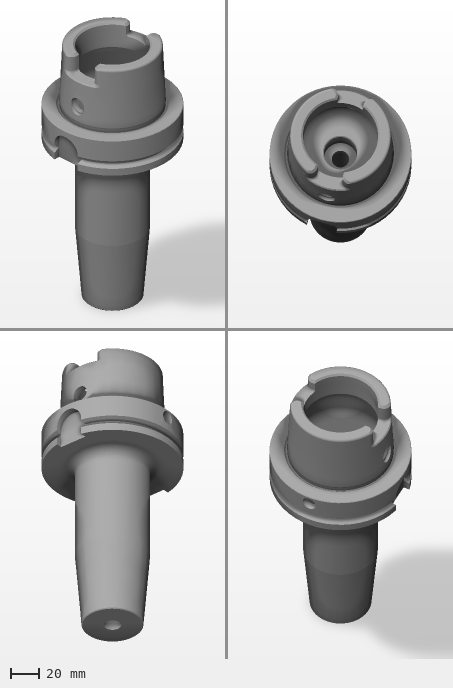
import cadquery as cq
import math

TOTAL_LENGTH = 210.0
NOSE_TAPER_TOP = 57.5
FLANGE_BOTTOM = 131.5
FLANGE_TOP = 160.4

NECK_RADIUS = 26.5
NOSE_END_RADIUS = 21.8
NOSE_CHAMFER = 0.6
NECK_FILLET = 6.3

FLANGE_RADIUS = 50.0
FLANGE_CHAMFER = 0.5
GROOVE_FLOOR_RADIUS = 45.5
GROOVE_FLOOR_BOTTOM = 138.7
GROOVE_FLOOR_TOP = 141.7
GROOVE_FLANK_RADIUS = 47.5
GROOVE_FLANK_RISE = 0.5
GROOVE_LIP_RISE = 1.3

SHANK_BASE_RADIUS = 37.5
SHANK_TOP_RADIUS = 35.5
SHANK_BASE = 162.9
SHANK_TOP_ROUND = 1.9
RELIEF_RADIUS = 37.4
RELIEF_OUTER_RADIUS = 39.7
RELIEF_DEPTH = 1.0
RELIEF_RISE = 1.5

BORE_RADIUS = 26.5
MOUTH_CHAMFER = 1.3
CLAMP_SHOULDER = 190.0
CLAMP_RADIUS = 31.5
CLAMP_SHOULDER_ANGLE = 30.0
CAVITY_FLOOR = 163.0
CAVITY_FLOOR_FILLET = 7.1
TUBE_BORE_RADIUS = 11.8
TUBE_BORE_DEPTH = 16.8
TUBE_BORE_CHAMFER = 0.73
COOLANT_RADIUS = 6.0

SLOT_HALF_WIDTH = 9.5
SLOT_ROUND = 5.2
SLOT_SHOULDER = 32.1
FRONT_SLOT_FLOOR = 195.2
BACK_SLOT_FLOOR = 200.0
SLOT_FLOOR_FILLET = 1.9
SLOT_RIM_CHAMFER = 0.8
SLOT_TOP_CHAMFER = 1.7

ACCESS_RADIUS = 6.0
ACCESS_HEIGHT = 175.3
ACCESS_DROP = 1.3
ACCESS_STEP_RADIUS = 34.8

KEYWAY_RADIUS = 11.0
KEYWAY_TOP = 155.5
KEYWAY_FLAT = 44.0
POCKET_RADIUS = 5.0
POCKET_HEIGHT = 153.6
POCKET_DEPTH = 5.2

CLEARANCE = 10.5

ARC_INSET = 1 - math.sqrt(0.5)


def revolve_outline(outline):
    return outline.close().revolve(360, (0, 0, 0), (0, 1, 0))


def make_body():
    """Solid of revolution: nose, neck, flange and taper shank."""
    flank_bottom = GROOVE_FLOOR_BOTTOM - GROOVE_FLANK_RISE
    flank_top = GROOVE_FLOOR_TOP + GROOVE_FLANK_RISE
    round_middle = SHANK_TOP_ROUND * ARC_INSET
    neck_middle = NECK_FILLET * ARC_INSET
    outline = (
        cq.Workplane("XZ")
        .lineTo(NOSE_END_RADIUS - NOSE_CHAMFER, 0)
        .lineTo(NOSE_END_RADIUS, NOSE_CHAMFER)
        .lineTo(NECK_RADIUS, NOSE_TAPER_TOP)
        .lineTo(NECK_RADIUS, FLANGE_BOTTOM - NECK_FILLET)
        .threePointArc(
            (NECK_RADIUS + neck_middle, FLANGE_BOTTOM - neck_middle),
            (NECK_RADIUS + NECK_FILLET, FLANGE_BOTTOM),
        )
        .lineTo(FLANGE_RADIUS, FLANGE_BOTTOM)
        .lineTo(FLANGE_RADIUS, flank_bottom - GROOVE_LIP_RISE)
        .lineTo(GROOVE_FLANK_RADIUS, flank_bottom)
        .lineTo(GROOVE_FLOOR_RADIUS, GROOVE_FLOOR_BOTTOM)
        .lineTo(GROOVE_FLOOR_RADIUS, GROOVE_FLOOR_TOP)
        .lineTo(GROOVE_FLANK_RADIUS, flank_top)
        .lineTo(FLANGE_RADIUS, flank_top + GROOVE_LIP_RISE)
        .lineTo(FLANGE_RADIUS, FLANGE_TOP - FLANGE_CHAMFER)
        .lineTo(FLANGE_RADIUS - FLANGE_CHAMFER, FLANGE_TOP)
        .lineTo(RELIEF_OUTER_RADIUS, FLANGE_TOP)
        .lineTo(RELIEF_OUTER_RADIUS - RELIEF_DEPTH, FLANGE_TOP - RELIEF_DEPTH)
        .lineTo(RELIEF_RADIUS, FLANGE_TOP - RELIEF_DEPTH)
        .lineTo(RELIEF_RADIUS, FLANGE_TOP + RELIEF_RISE)
        .lineTo(SHANK_BASE_RADIUS, SHANK_BASE)
        .lineTo(SHANK_TOP_RADIUS, TOTAL_LENGTH - SHANK_TOP_ROUND)
        .threePointArc(
            (SHANK_TOP_RADIUS - round_middle, TOTAL_LENGTH - round_middle),
            (SHANK_TOP_RADIUS - SHANK_TOP_ROUND, TOTAL_LENGTH),
        )
        .lineTo(0, TOTAL_LENGTH)
    )
    return revolve_outline(outline)


def make_cavity():
    """Clamping cavity, coolant tube bore and through bore as one cutter."""
    fillet_middle = CAVITY_FLOOR_FILLET * ARC_INSET
    shoulder_drop = (CLAMP_RADIUS - BORE_RADIUS) * math.tan(math.radians(CLAMP_SHOULDER_ANGLE))
    outline = (
        cq.Workplane("XZ")
        .lineTo(COOLANT_RADIUS, 0)
        .lineTo(COOLANT_RADIUS, CAVITY_FLOOR - TUBE_BORE_DEPTH)
        .lineTo(TUBE_BORE_RADIUS, CAVITY_FLOOR - TUBE_BORE_DEPTH)
        .lineTo(TUBE_BORE_RADIUS, CAVITY_FLOOR - TUBE_BORE_CHAMFER)
        .lineTo(TUBE_BORE_RADIUS + TUBE_BORE_CHAMFER, CAVITY_FLOOR)
        .lineTo(CLAMP_RADIUS - CAVITY_FLOOR_FILLET, CAVITY_FLOOR)
        .threePointArc(
            (CLAMP_RADIUS - fillet_middle, CAVITY_FLOOR + fillet_middle),
            (CLAMP_RADIUS, CAVITY_FLOOR + CAVITY_FLOOR_FILLET),
        )
        .lineTo(CLAMP_RADIUS, CLAMP_SHOULDER - shoulder_drop)
        .lineTo(BORE_RADIUS, CLAMP_SHOULDER)
        .lineTo(BORE_RADIUS, TOTAL_LENGTH - MOUTH_CHAMFER)
        .lineTo(BORE_RADIUS + MOUTH_CHAMFER, TOTAL_LENGTH)
        .lineTo(0, TOTAL_LENGTH)
    )
    return revolve_outline(outline)


def slot_outline(height):
    """Plan of the drive slot on the -Y side, flaring outward with a round on each wall."""
    round_start = SLOT_SHOULDER - SLOT_ROUND
    flare = SLOT_HALF_WIDTH + SLOT_ROUND
    bulge = SLOT_ROUND * ARC_INSET
    outer = FLANGE_RADIUS
    return (
        cq.Workplane("XY", origin=(0, 0, height))
        .moveTo(-SLOT_HALF_WIDTH, 0)
        .lineTo(-SLOT_HALF_WIDTH, -round_start)
        .threePointArc(
            (-SLOT_HALF_WIDTH - bulge, -SLOT_SHOULDER + bulge),
            (-flare, -SLOT_SHOULDER),
        )
        .lineTo(-outer, -SLOT_SHOULDER)
        .lineTo(-outer, -outer)
        .lineTo(outer, -outer)
        .lineTo(outer, -SLOT_SHOULDER)
        .lineTo(flare, -SLOT_SHOULDER)
        .threePointArc(
            (SLOT_HALF_WIDTH + bulge, -SLOT_SHOULDER + bulge),
            (SLOT_HALF_WIDTH, -round_start),
        )
        .lineTo(SLOT_HALF_WIDTH, 0)
        .close()
    )


def cut_drive_slot(part, floor):
    """Cut a drive slot on the -Y side, with a floor fillet and broken outer and top edges."""
    slot = slot_outline(floor).extrude(TOTAL_LENGTH - floor)
    slot = slot.faces("<Z").edges().fillet(SLOT_FLOOR_FILLET)
    slotted = part.cut(slot)
    floor_rim = cq.selectors.BoxSelector(
        (-FLANGE_RADIUS, -FLANGE_RADIUS, floor - SLOT_FLOOR_FILLET),
        (FLANGE_RADIUS, -SLOT_SHOULDER, floor + SLOT_FLOOR_FILLET / 2),
    )
    broken = slotted.edges(floor_rim).chamfer(SLOT_RIM_CHAMFER)
    top_flare = slot_outline(TOTAL_LENGTH - SLOT_TOP_CHAMFER)
    return broken.cut(top_flare.extrude(SLOT_TOP_CHAMFER, taper=-45))


def cut_access_hole(part):
    """Cut the hole through both shank walls, lengthened downward at its -Y mouth."""
    drilled = (
        cq.Workplane("XZ", origin=(0, 0, ACCESS_HEIGHT))
        .circle(ACCESS_RADIUS)
        .extrude(FLANGE_RADIUS, both=True)
    )
    lengthening = (
        cq.Workplane("XZ", origin=(0, -ACCESS_STEP_RADIUS, ACCESS_HEIGHT - ACCESS_DROP))
        .circle(ACCESS_RADIUS)
        .extrude(CLEARANCE)
    )
    return part.cut(drilled).cut(lengthening)


def make_keyway():
    """Round-topped keyway cutter on the -Y side, open at the flange bottom."""
    arch_center = KEYWAY_TOP - KEYWAY_RADIUS
    return (
        cq.Workplane("XZ", origin=(0, -KEYWAY_FLAT, 0))
        .moveTo(-KEYWAY_RADIUS, FLANGE_BOTTOM)
        .lineTo(-KEYWAY_RADIUS, arch_center)
        .threePointArc((0, KEYWAY_TOP), (KEYWAY_RADIUS, arch_center))
        .lineTo(KEYWAY_RADIUS, FLANGE_BOTTOM)
        .close()
        .extrude(CLEARANCE)
    )


def make_rim_pocket():
    """Round blind pocket in the -X side of the flange."""
    return (
        cq.Workplane("YZ", origin=(-FLANGE_RADIUS, 0, POCKET_HEIGHT))
        .circle(POCKET_RADIUS)
        .extrude(POCKET_DEPTH)
    )


def half_turn(part):
    """Turn a part about the Z axis so that its -Y side faces +Y."""
    return part.rotate((0, 0, 0), (0, 0, 1), 180)


front_slotted = cut_drive_slot(make_body(), FRONT_SLOT_FLOOR)
slotted_body = half_turn(cut_drive_slot(half_turn(front_slotted), BACK_SLOT_FLOOR))
hollow_body = cut_access_hole(slotted_body.cut(make_cavity()))
result = (
    hollow_body.cut(make_keyway())
    .cut(half_turn(make_keyway()))
    .cut(make_rim_pocket())
)